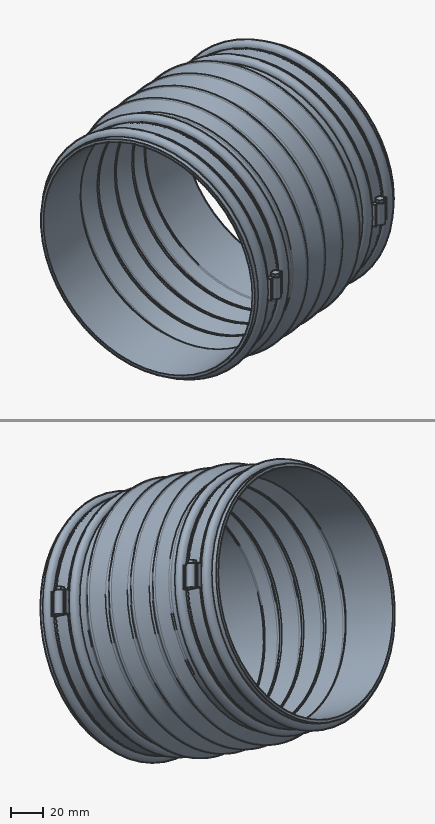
import cadquery as cq
import math

length = 150.0
tube_radius = 164.0 / 2
bore_radius = 160.0 / 2
wall = tube_radius - bore_radius
seat_radius = bore_radius + wall / 2

fold_count = 4
fold_pitch = 18.7
crest_radius = 89.0
crest_round = 1.2
root_round = 1.8
inner_round = 1.2

end_margin = 1.8
sharp_tolerance = 0.02

bead_round = 4.0
clamp_inset = 18.7
bead_offset = 11.2

band_radius = 82.7
band_width = 10.3

saddle_top = 84.7
flange_top = 85.4
flange_thickness = 0.5
saddle_width = 12.1
housing_length = 15.5
screw_radius = 3.5
screw_center = 84.3
head_across_corners = 6.0
head_height = 2.1

round_setback = math.sqrt(2) - 1
outer_crest = crest_radius + crest_round * round_setback
outer_root = outer_crest - fold_pitch / 2
wall_drop = wall * math.sqrt(2)
inner_crest = outer_crest - wall_drop
inner_root = outer_root - wall_drop


def fold_outline(crest, root, end_radius):
    """Zigzag points (radius, y) running from the -Y end to the +Y end."""
    last_crest = (fold_count - 1) * fold_pitch / 2
    bellows_end = last_crest + crest - end_radius
    points = [(end_radius, -length / 2), (end_radius, -bellows_end)]
    for index in range(fold_count):
        y = index * fold_pitch - last_crest
        points.append((crest, y))
        if index < fold_count - 1:
            points.append((root, y + fold_pitch / 2))
    points += [(end_radius, bellows_end), (end_radius, length / 2)]
    return points


def revolve_profile(points):
    return cq.Workplane("XY").polyline(points).close().revolve(360, (0, 0), (0, 1))


def ring_edges(body):
    """Circular edges of a revolved body, leaving out its two end rims."""
    rings = body.edges("%CIRCLE").vals()
    return [edge for edge in rings if abs(edge.Center().y) < length / 2 - end_margin]


def rounded_solid(crest, root, end_radius, crest_fillet, root_fillet):
    """Solid of revolution with its fold crests and roots rounded."""
    outline = fold_outline(crest, root, end_radius)
    body = revolve_profile([(0, -length / 2)] + outline + [(0, length / 2)])
    roots = [edge for edge in ring_edges(body) if edge.radius() < end_radius + end_margin]
    body = cq.Workplane(body.val().fillet(root_fillet, roots))
    crests = [edge for edge in ring_edges(body) if edge.radius() > crest - sharp_tolerance]
    return cq.Workplane(body.val().fillet(crest_fillet, crests))


def bead(y):
    plane = cq.Plane((tube_radius, y, 0), xDir=(-1, 0, 0), normal=(0, 0, 1))
    profile = cq.Workplane(plane).circle(bead_round)
    return profile.revolve(360, (tube_radius, 0), (tube_radius, 1))


def band(y):
    bottom = y - band_width / 2
    top = y + band_width / 2
    return revolve_profile([
        (seat_radius, bottom), (band_radius, bottom), (band_radius, top), (seat_radius, top),
    ])


def clamp_screw(y):
    """Saddle with two side flanges, holding a screw with a hexagonal head."""
    def block(top, width, y_center):
        box = cq.Workplane("XY").box(top - seat_radius, width, housing_length)
        return box.translate(((seat_radius + top) / 2, y_center, 0))

    saddle = block(saddle_top, saddle_width, y)
    for side in (-1, 1):
        flange_y = y + side * (saddle_width - flange_thickness) / 2
        saddle = saddle.union(block(flange_top, flange_thickness, flange_y))
    end = cq.Workplane("XY").workplane(offset=-housing_length / 2).center(screw_center, y)
    screw = end.circle(screw_radius).extrude(housing_length)
    head = end.polygon(6, head_across_corners).extrude(housing_length + head_height)
    return saddle.union(screw).union(head)


outside = rounded_solid(outer_crest, outer_root, tube_radius, crest_round, root_round)
bore = rounded_solid(inner_crest, inner_root, bore_radius, inner_round, inner_round)

for end_side in (-1, 1):
    clamp_y = end_side * (length / 2 - clamp_inset)
    outside = outside.union(bead(clamp_y - bead_offset)).union(bead(clamp_y + bead_offset))
    outside = outside.union(band(clamp_y)).union(clamp_screw(clamp_y))

result = outside.cut(bore)